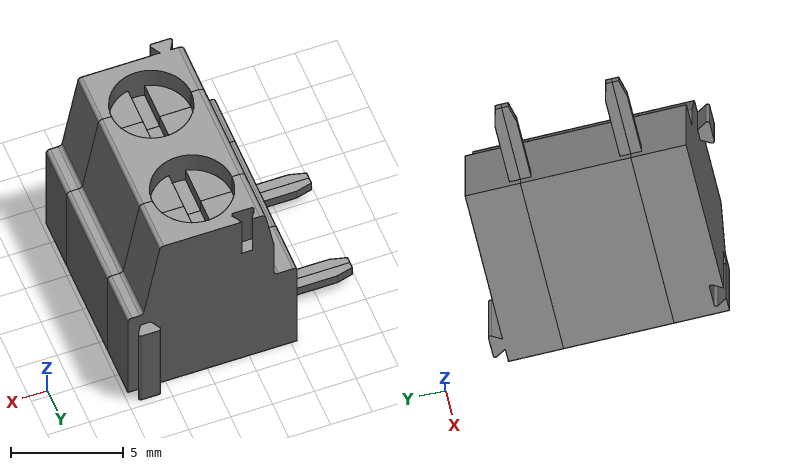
import cadquery as cq
import math


POLE_COUNT = 2
PITCH = 5.08
BLOCK_LENGTH = POLE_COUNT * PITCH
FRONT_Y = -BLOCK_LENGTH / 2
REAR_Y = BLOCK_LENGTH / 2
POLE_YS = [FRONT_Y + (i + 0.5) * PITCH for i in range(POLE_COUNT)]

BASE_WIDTH = 8.1
HEIGHT = 10.0
STEP_Z = 5.4
TOWER_PIN_X = 1.1
KNEE_Z = 7.55
TOP_FAR_X = 6.55
WALL_TILT_DEG = 10
WALL_SLOPE = math.tan(math.radians(WALL_TILT_DEG))
TOP_PIN_X = TOWER_PIN_X + (HEIGHT - KNEE_Z) * WALL_SLOPE
TOWER_FAR_X = TOP_FAR_X + (HEIGHT - STEP_Z) * WALL_SLOPE
EDGE_RADIUS = 0.2
TOP_PIN_EDGE_RADIUS = 0.3

PIN_LENGTH = 3.5
PIN_WIDTH = 1.0
PIN_BOTTOM_Z = 0.5
PIN_THICKNESS = 0.5
PIN_TIP_WIDTH = 0.6
PIN_TAPER_LENGTH = 0.8

SCREW_X = 4.05
WELL_DIAMETER = 3.8
WELL_DEPTH = 1.1
SLOT_WIDTH = 0.8
SLOT_DEPTH = 0.7

DOVETAIL_HEIGHT = 0.6
DOVETAIL_NECK = 0.5
DOVETAIL_SIDE_DEG = 30
DOVETAIL_FLARE = DOVETAIL_HEIGHT * math.tan(math.radians(DOVETAIL_SIDE_DEG))
DOVETAIL_EDGE_RADIUS = 0.1
UPPER_DOVETAIL_X = 2.4
UPPER_DOVETAIL_LENGTH = 2.3
UPPER_DOVETAIL_BOTTOM_Z = HEIGHT - UPPER_DOVETAIL_LENGTH
LOWER_DOVETAIL_X = 7.25
LOWER_DOVETAIL_LENGTH = 4.7


def profile_block(start_y, end_y):
    """Stepped cross-section with rounded edges, extruded between two Y planes."""
    block = (
        cq.Workplane("XZ", origin=(0, end_y, 0))
        .polyline([
            (0, 0),
            (BASE_WIDTH, 0),
            (BASE_WIDTH, STEP_Z),
            (TOWER_FAR_X, STEP_Z),
            (TOP_FAR_X, HEIGHT),
            (TOP_PIN_X, HEIGHT),
            (TOWER_PIN_X, KNEE_Z),
            (TOWER_PIN_X, STEP_Z),
            (0, STEP_Z),
        ])
        .close()
        .extrude(end_y - start_y)
    )
    middle_y = (start_y + end_y) / 2
    rounded_edges = [
        (BASE_WIDTH, STEP_Z, EDGE_RADIUS),
        (TOWER_FAR_X, STEP_Z, EDGE_RADIUS),
        (TOP_FAR_X, HEIGHT, EDGE_RADIUS),
        (TOP_PIN_X, HEIGHT, TOP_PIN_EDGE_RADIUS),
        (TOWER_PIN_X, STEP_Z, EDGE_RADIUS),
        (0, STEP_Z, EDGE_RADIUS),
    ]
    for x, z, radius in rounded_edges:
        nearest_edge = cq.selectors.NearestToPointSelector((x, middle_y, z))
        block = block.edges("|Y").edges(nearest_edge).fillet(radius)
    return block


def solder_pin(pole_y):
    """Flat pin with a tapered tip, reaching out from the pin-side face."""
    taper_x = PIN_TAPER_LENGTH - PIN_LENGTH
    return (
        cq.Workplane("XY", origin=(0, pole_y, PIN_BOTTOM_Z))
        .polyline([
            (0, -PIN_WIDTH / 2),
            (0, PIN_WIDTH / 2),
            (taper_x, PIN_WIDTH / 2),
            (-PIN_LENGTH, PIN_TIP_WIDTH / 2),
            (-PIN_LENGTH, -PIN_TIP_WIDTH / 2),
            (taper_x, -PIN_WIDTH / 2),
        ])
        .close()
        .extrude(PIN_THICKNESS)
    )


def screw_well(pole_y):
    """Space above a screw head: a round well with a driver slot across its floor."""
    floor_z = HEIGHT - WELL_DEPTH
    well = (
        cq.Workplane("XY", origin=(SCREW_X, pole_y, HEIGHT))
        .circle(WELL_DIAMETER / 2)
        .extrude(-WELL_DEPTH)
    )
    slot_bar = (
        cq.Workplane("XY", origin=(SCREW_X, pole_y, floor_z))
        .rect(SLOT_WIDTH, WELL_DIAMETER)
        .extrude(-SLOT_DEPTH)
    )
    screw_head = (
        cq.Workplane("XY", origin=(SCREW_X, pole_y, floor_z))
        .circle(WELL_DIAMETER / 2)
        .extrude(-SLOT_DEPTH)
    )
    return well.union(slot_bar.intersect(screw_head))


def section(start_y, end_y):
    """Slice of the block between two Y planes, with its share of each pin and screw well."""
    body = profile_block(start_y, end_y)
    slab = (
        cq.Workplane("XY", origin=(-PIN_LENGTH, start_y, 0))
        .box(PIN_LENGTH + BASE_WIDTH, end_y - start_y, HEIGHT, centered=False)
    )
    for pole_y in POLE_YS:
        if start_y <= pole_y <= end_y:
            body = body.union(solder_pin(pole_y).intersect(slab))
            body = body.cut(screw_well(pole_y))
    return body


def dovetail(x, root_y, direction, bottom_z, length):
    """Upright dovetail that widens from its neck at root_y, toward +Y or -Y (direction +1 or -1)."""
    neck_half = DOVETAIL_NECK / 2
    wide_half = neck_half + DOVETAIL_FLARE
    end_y = direction * DOVETAIL_HEIGHT
    outer_edges = "|Z and >Y" if direction > 0 else "|Z and <Y"
    return (
        cq.Workplane("XY", origin=(x, root_y, bottom_z))
        .polyline([(-neck_half, 0), (-wide_half, end_y), (wide_half, end_y), (neck_half, 0)])
        .close()
        .extrude(length)
        .edges(outer_edges)
        .fillet(DOVETAIL_EDGE_RADIUS)
    )


def upper_dovetail(root_y):
    """Pin-side dovetail, pointing toward -Y and open at the top."""
    return dovetail(UPPER_DOVETAIL_X, root_y, -1, UPPER_DOVETAIL_BOTTOM_Z, UPPER_DOVETAIL_LENGTH)


def lower_dovetail(root_y):
    """Far-side dovetail, pointing toward +Y and open at the underside."""
    return dovetail(LOWER_DOVETAIL_X, root_y, 1, 0, LOWER_DOVETAIL_LENGTH)


def front_end_section():
    body = section(FRONT_Y, POLE_YS[0])
    return body.union(upper_dovetail(FRONT_Y)).cut(lower_dovetail(FRONT_Y))


def rear_end_section():
    body = section(POLE_YS[-1], REAR_Y)
    return body.union(lower_dovetail(REAR_Y)).cut(upper_dovetail(REAR_Y))


middle_sections = [section(start_y, end_y).val() for start_y, end_y in zip(POLE_YS, POLE_YS[1:])]

result = cq.Compound.makeCompound([
    front_end_section().val(),
    *middle_sections,
    rear_end_section().val(),
])